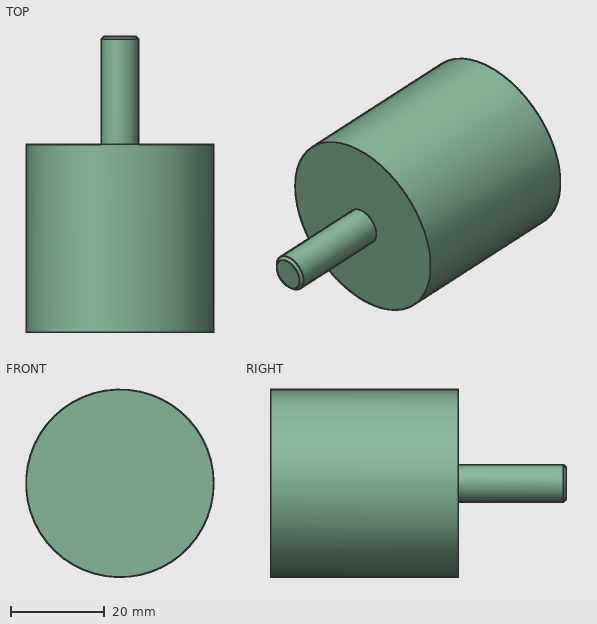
import cadquery as cq

overall_length = 63.0
body_diameter = 40.0
body_length = 40.0
stud_diameter = 8.0
stud_chamfer = 0.6

stud_length = overall_length - body_length


def cylinder_along_y(diameter, start_y, length):
    """Round bar centred on the Y axis, growing from start_y toward +Y."""
    plane = cq.Plane(origin=(0, start_y, 0), xDir=(1, 0, 0), normal=(0, 1, 0))
    return cq.Workplane(plane).circle(diameter / 2).extrude(length)


def make_buffer_body():
    """Plain cylindrical buffer, its front face at Y = 0."""
    return cylinder_along_y(body_diameter, 0, body_length)


def make_stud():
    """Stud standing on the rear face of the buffer, chamfered at its free end."""
    stud = cylinder_along_y(stud_diameter, body_length, stud_length)
    return stud.faces(">Y").chamfer(stud_chamfer)


buffer_body = make_buffer_body()
stud = make_stud()

result = cq.Compound.makeCompound([buffer_body.val(), stud.val()])